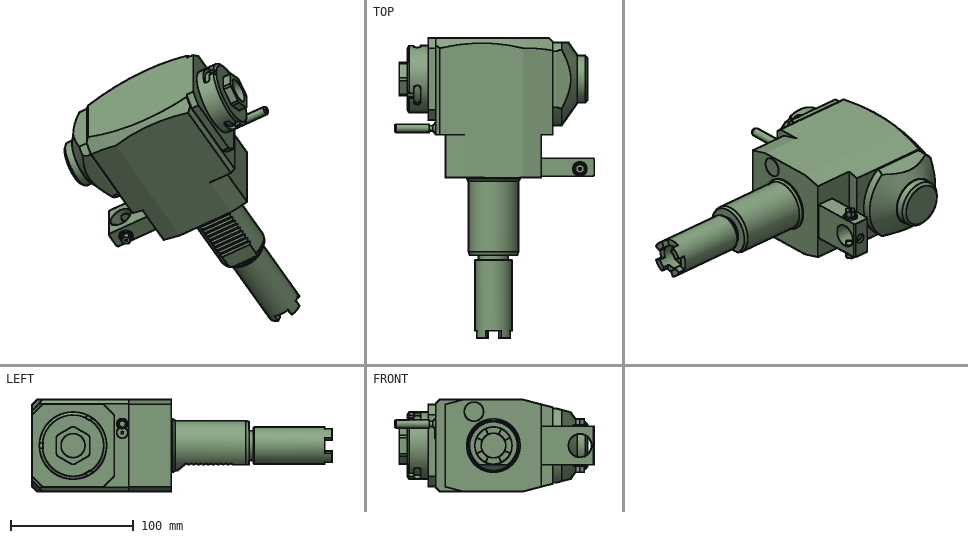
import cadquery as cq
import math


housing_depth = 113.5
housing_height = 75.0
half_height = housing_height / 2
overall_length = 244.2
tip_end_y = housing_depth - overall_length

clearance = 2.5

housing_left_x = -47.1
housing_right_x = 48.4
left_edge_chamfer = 3.5
flat_half_width = 24.0
right_half_height = 31.15
taper_slope = (half_height - right_half_height) / (housing_right_x - flat_half_width)
base_depth = 34.7
base_half_width = 39.0
base_side_half_height = half_height - taper_slope * (base_half_width - flat_half_width)
back_corner_chamfer = 3.2
back_bevel = 4.2
back_bevel_radius = 136.8
back_bevel_x = -9.8
plug_radius = 7.8
plug_x = -15.9
plug_z = 27.5
plug_recess = 0.2

plate_half_size = 33.5
spindle_y = housing_depth - plate_half_size
plate_left_x = -53.2
plate_corner = 8.5
collar_left_x = -70.0
collar_radius = 27.4
collar_chamfer_axial = 1.5
collar_chamfer_radial = 2.5
slot_count = 3
slot_center_x = -62.0
slot_width = 5.4
slot_length = 18.0
slot_depth = 3.0
key_width = 4.6
key_depth = 2.7
hex_left_x = -76.7
hex_flats = 27.4
hex_corner_radius = 15.1
spindle_bore_radius = 9.8

cap_radius = 37.9
cap_rim_x = 55.5
cap_cone_end_x = 68.1
cap_cone_end_radius = 19.8
cap_boss_radius = 19.3
cap_boss_end_x = 76.7
cap_boss_chamfer = 2.2
cap_flat_y = 110.0
cap_flat_z = 30.3
cap_flat_end_x = 51.0

pin_y = 40.0
pin_z = 17.5
pin_radius = 3.5
pin_end_x = -80.4
pin_end_chamfer_length = 1.5
pin_end_radius = 2.7
pin_shoulder_x = -52.3
pin_neck_radius = 2.2
pin_neck_end_x = -49.5
pin_flare_radius = 4.5
screw_z = 10.5
screw_radius = 4.52
screw_height = 0.7
screw_socket_radius = 1.0

bracket_end_x = 82.0
bracket_front_y = 1.0
bracket_back_y = 15.9
bracket_half_height = 15.75
bracket_chamfer = 1.0
bracket_bore_x = 70.3
bracket_bore_radius = 9.4
cross_hole_radius = 4.0
cross_hole_end = 9.8
nozzle_y = 7.0
nozzle_flange_radius = 5.75
nozzle_height = 5.98
nozzle_flange_top_radius = 5.0
nozzle_flange_height = 1.2
nozzle_hex_flats = 7.0
nozzle_hole_radius = 1.0
nozzle_hole_depth = 2.0

collar_ring_radius = 21.7
collar_ring_end_y = -1.0
collar_cone_end_y = -3.2
shank_radius = 20.4
shank_end_y = -63.3
shank_chamfer_length = 3.0
shank_chamfer_radial = 1.0
neck_radius = 12.2
neck_end_y = -66.7
tip_radius = 15.1
tip_chamfer = 0.7
crown_start_y = -124.8
crown_bore_radius = 10.0
crown_bore_depth = 14.7
crown_gap_count = 4
crown_gap_half_angle = 25.0

flat_z = -15.75
tooth_valley_z = -14.53
tooth_pitch = 4.03
valley_count = 10
first_valley_y = -12.0
ramp_start_y = -4.5
ramp_start_z = -20.8


def box(x0, x1, y0, y1, z0, z1):
    return cq.Workplane("XY").box(x1 - x0, y1 - y0, z1 - z0, centered=False).translate((x0, y0, z0))


def extrude_y(outline, y0, y1):
    """Extrude a closed X-Z outline from y0 to y1."""
    return cq.Workplane("XZ", origin=(0, y1, 0)).polyline(outline).close().extrude(y1 - y0)


def cylinder_x(radius, x0, x1, y, z):
    return cq.Workplane("YZ", origin=(x0, y, z)).circle(radius).extrude(x1 - x0)


def revolve_x(profile, y, z):
    """Revolve (x, radius) points about a line parallel to X."""
    solid = cq.Workplane("XY").polyline(profile).close().revolve(360, (0, 0, 0), (1, 0, 0))
    return solid.translate((0, y, z))


def mirrored_outline(upper_points):
    """Close an X-Z outline that is symmetric about Z = 0."""
    return upper_points + [(x, -z) for x, z in reversed(upper_points)]


def make_housing():
    head_outline = mirrored_outline([
        (housing_left_x, half_height - left_edge_chamfer),
        (housing_left_x + left_edge_chamfer, half_height),
        (flat_half_width, half_height),
        (housing_right_x, right_half_height),
    ])
    base_outline = mirrored_outline([
        (-base_half_width, base_side_half_height),
        (-flat_half_width, half_height),
        (flat_half_width, half_height),
        (base_half_width, base_side_half_height),
    ])
    head = extrude_y(head_outline, base_depth, housing_depth)
    head = head.edges("|Z and >X and >Y").chamfer(back_corner_chamfer)
    base = extrude_y(base_outline, 0, base_depth)
    housing = head.union(base)

    overshoot = half_height
    bevel_profile = [
        (back_bevel_radius - back_bevel, housing_depth),
        (back_bevel_radius + overshoot, housing_depth - back_bevel - overshoot),
        (back_bevel_radius + overshoot, housing_depth),
    ]
    bevel = cq.Workplane("XY").polyline(bevel_profile).close().revolve(360, (0, 0, 0), (0, 1, 0))
    bevel_axis_z = back_bevel_radius - half_height
    for side in (-1, 1):
        housing = housing.cut(bevel.translate((back_bevel_x, 0, side * bevel_axis_z)))

    plug = cq.Workplane("XZ", origin=(plug_x, plug_recess, plug_z)).circle(plug_radius).extrude(clearance)
    return housing.cut(plug)


def make_plate():
    plate = box(plate_left_x, housing_left_x,
                spindle_y - plate_half_size, spindle_y + plate_half_size,
                -plate_half_size, plate_half_size)
    return plate.edges("|X").chamfer(plate_corner)


def make_collar():
    collar = revolve_x([
        (plate_left_x, 0),
        (plate_left_x, collar_radius),
        (collar_left_x + collar_chamfer_axial, collar_radius),
        (collar_left_x, collar_radius - collar_chamfer_radial),
        (collar_left_x, 0),
    ], 0, 0)

    def outer_shell(depth):
        outside = cylinder_x(collar_radius + clearance, collar_left_x, plate_left_x, 0, 0)
        return outside.cut(cylinder_x(collar_radius - depth, collar_left_x, plate_left_x, 0, 0))

    slot = (
        cq.Workplane("XZ", origin=(slot_center_x, 0, 0))
        .slot2D(slot_length, slot_width, 90)
        .extrude(-2 * collar_radius)
        .intersect(outer_shell(slot_depth))
    )
    keyway = box(collar_left_x, slot_center_x, 0, 2 * collar_radius, -key_width / 2, key_width / 2)
    keyway = keyway.intersect(outer_shell(key_depth))
    for i in range(slot_count):
        angle = i * 360 / slot_count
        for cutter in (slot, keyway):
            collar = collar.cut(cutter.rotate((0, 0, 0), (1, 0, 0), angle))
    return collar.translate((0, spindle_y, 0))


def make_hexagon():
    hexagon = (
        cq.Workplane("YZ", origin=(hex_left_x, 0, 0))
        .polygon(6, hex_flats / math.cos(math.pi / 6))
        .extrude(collar_left_x - hex_left_x)
        .rotate((0, 0, 0), (1, 0, 0), 30)
    )
    rounding = cylinder_x(hex_corner_radius, hex_left_x, collar_left_x, 0, 0)
    return hexagon.intersect(rounding).translate((0, spindle_y, 0))


def make_cap():
    cap = revolve_x([
        (housing_right_x, 0),
        (housing_right_x, cap_radius),
        (cap_rim_x, cap_radius),
        (cap_cone_end_x, cap_cone_end_radius),
        (cap_cone_end_x, cap_boss_radius),
        (cap_boss_end_x - cap_boss_chamfer, cap_boss_radius),
        (cap_boss_end_x, cap_boss_radius - cap_boss_chamfer),
        (cap_boss_end_x, 0),
    ], spindle_y, 0)
    taper_end_z = cap_flat_z - taper_slope * (cap_boss_end_x - cap_flat_end_x)
    envelope = mirrored_outline([
        (housing_right_x, cap_flat_z),
        (cap_flat_end_x, cap_flat_z),
        (cap_boss_end_x, taper_end_z),
    ])
    return cap.intersect(extrude_y(envelope, 0, cap_flat_y))


def make_pin():
    return revolve_x([
        (pin_end_x, 0),
        (pin_end_x, pin_end_radius),
        (pin_end_x + pin_end_chamfer_length, pin_radius),
        (pin_shoulder_x, pin_radius),
        (pin_shoulder_x, pin_neck_radius),
        (pin_neck_end_x, pin_neck_radius),
        (housing_left_x, pin_flare_radius),
        (housing_left_x, 0),
    ], pin_y, pin_z)


def make_screw():
    screw_left_x = housing_left_x - screw_height
    head = cylinder_x(screw_radius, screw_left_x, housing_left_x, pin_y, screw_z)
    return head.cut(cylinder_x(screw_socket_radius, screw_left_x, housing_left_x, pin_y, screw_z))


def make_nozzle():
    """Hexagonal nozzle on a conical flange, standing on the top of the bracket."""
    flange = (
        cq.Workplane("XY")
        .circle(nozzle_flange_radius)
        .workplane(offset=nozzle_flange_height)
        .circle(nozzle_flange_top_radius)
        .loft()
    )
    hexagon = (
        cq.Workplane("XY")
        .polygon(6, nozzle_hex_flats / math.cos(math.pi / 6))
        .extrude(nozzle_height)
        .rotate((0, 0, 0), (0, 0, 1), 30)
        .faces(">Z").workplane().hole(2 * nozzle_hole_radius, nozzle_hole_depth)
    )
    return flange.union(hexagon).translate((bracket_bore_x, nozzle_y, bracket_half_height))


def make_bracket():
    bracket = box(base_half_width, bracket_end_x, bracket_front_y, bracket_back_y,
                  -bracket_half_height, bracket_half_height)
    bracket = bracket.edges("|Z and >X").chamfer(bracket_chamfer)
    bore = (
        cq.Workplane("XZ", origin=(bracket_bore_x, bracket_back_y, 0))
        .circle(bracket_bore_radius)
        .extrude(bracket_back_y)
    )
    cross_hole = (
        cq.Workplane("XY", origin=(bracket_bore_x, nozzle_y, -cross_hole_end))
        .circle(cross_hole_radius)
        .extrude(2 * cross_hole_end)
    )
    end_hole = cylinder_x(cross_hole_radius, bracket_bore_x, bracket_end_x, nozzle_y, 0)
    nozzle = make_nozzle()
    bracket = bracket.cut(bore).cut(cross_hole).cut(end_hole)
    return bracket.union(nozzle).union(nozzle.mirror("XY"))


def make_shank():
    profile = [
        (0, 0),
        (collar_ring_radius, 0),
        (collar_ring_radius, collar_ring_end_y),
        (shank_radius, collar_cone_end_y),
        (shank_radius, shank_end_y + shank_chamfer_length),
        (shank_radius - shank_chamfer_radial, shank_end_y),
        (neck_radius, shank_end_y),
        (neck_radius, neck_end_y),
        (tip_radius - tip_chamfer, neck_end_y),
        (tip_radius, neck_end_y - tip_chamfer),
        (tip_radius, tip_end_y),
        (0, tip_end_y),
    ]
    shank = cq.Workplane("XY").polyline(profile).close().revolve(360, (0, 0, 0), (0, 1, 0))
    return cut_crown(cut_serration(shank))


def cut_serration(shank):
    """Cut the ramp, the row of V teeth and the plain flat under the shank."""
    below_z = -2 * shank_radius
    outline = [(ramp_start_y, below_z), (ramp_start_y, ramp_start_z)]
    for i in range(valley_count):
        valley_y = first_valley_y - i * tooth_pitch
        outline.append((valley_y, tooth_valley_z))
        outline.append((valley_y - tooth_pitch / 2, flat_z))
    outline.append((shank_end_y, flat_z))
    outline.append((shank_end_y, below_z))
    cutter = cq.Workplane("YZ").polyline(outline).close().extrude(shank_radius + clearance, both=True)
    return shank.cut(cutter)


def cut_crown(shank):
    """Bore the tip and split its end into teeth with wedge-shaped gaps."""
    bore = (
        cq.Workplane("XZ", origin=(0, tip_end_y + crown_bore_depth, 0))
        .circle(crown_bore_radius)
        .extrude(crown_bore_depth)
    )
    reach = 2 * tip_radius
    half_width = reach * math.tan(math.radians(crown_gap_half_angle))
    gap = extrude_y([(0, 0), (reach, half_width), (reach, -half_width)], tip_end_y, crown_start_y)
    shank = shank.cut(bore)
    for i in range(crown_gap_count):
        shank = shank.cut(gap.rotate((0, 0, 0), (0, 1, 0), i * 360 / crown_gap_count))
    return shank


result = make_housing()
for feature in (make_plate(), make_collar(), make_hexagon(), make_cap(),
                make_pin(), make_screw(), make_bracket(), make_shank()):
    result = result.union(feature)

result = result.cut(
    cylinder_x(spindle_bore_radius, hex_left_x, collar_left_x, spindle_y, 0)
)